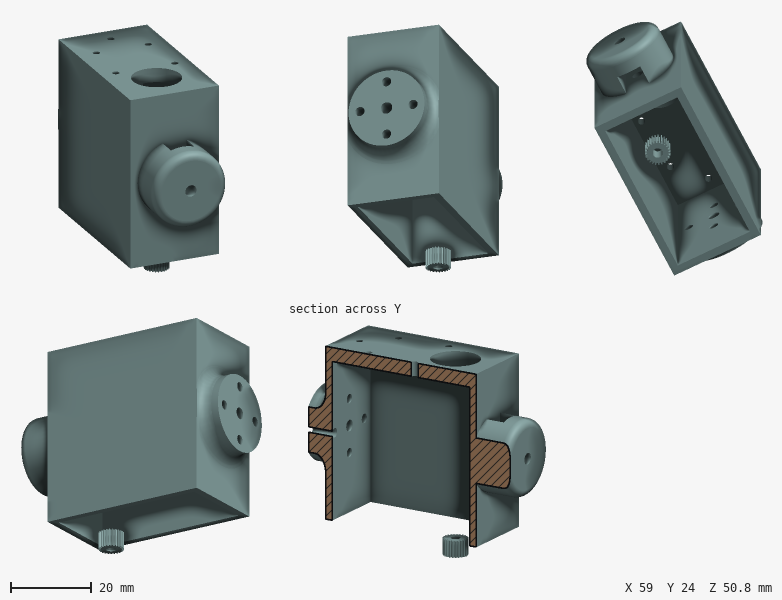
import cadquery as cq
import math


overall_length = 59

box_width = 24.0
box_height = 45.0
wall = 2.0
ceiling = 3.8
box_top = box_height / 2
box_bottom = -box_height / 2

flange_diameter = 20.0
flange_length = flange_diameter / 4
flange_flare = 3.0
shaft_hole_diameter = 3.0
flange_hole_diameter = 2.4
flange_hole_circle = 14.0

spout_diameter = flange_diameter
spout_length = spout_diameter / 2
spout_fillet = 2.0
slot_width = 6.4
slot_length = spout_length / 2

box_length = overall_length - flange_length - spout_length

screw_hole_diameter = 1.8
screw_circle_x = 12.0
screw_circle_radius = 7.0
screw_pair_x = 26.0
screw_pair_spacing = 16.0
pinion_opening_diameter = 12.7
pinion_x = 33.0

pinion_teeth = 25
pinion_tip_diameter = 6.45
pinion_root_diameter = 5.3
pinion_bore_diameter = 2.5
pinion_height = 4.3
pinion_gap = 1.5
tip_fraction = 0.27
root_fraction = 0.6


def make_box():
    """Solid block from the left face at X = 0."""
    return cq.Workplane("XY").box(box_length, box_width, box_height, centered=(False, True, True))


def make_flange():
    """Disc that flares concavely into the left face, trimmed flush with the block's sides."""
    rim_radius = flange_diameter / 2
    flare_radius = rim_radius + flange_flare
    arc_drop = flange_flare * math.sqrt(0.5)
    profile = (
        cq.Workplane("XY")
        .moveTo(-flange_length, 0)
        .lineTo(-flange_length, rim_radius)
        .lineTo(-flange_flare, rim_radius)
        .threePointArc((-flange_flare + arc_drop, flare_radius - arc_drop), (0, flare_radius))
        .lineTo(0, 0)
        .close()
    )
    flange = profile.revolve(axisStart=(0, 0, 0), axisEnd=(1, 0, 0))
    side_trim = cq.Workplane("XY").box(2 * flange_length, box_width, box_height)
    return flange.intersect(side_trim)


def make_spout():
    """Cylinder with a rounded end and a slot through it from top to bottom."""
    spout = (
        cq.Workplane("YZ", origin=(box_length, 0, 0))
        .circle(spout_diameter / 2)
        .extrude(spout_length)
        .faces(">X")
        .edges()
        .fillet(spout_fillet)
    )
    slot = cq.Workplane("XY", origin=(box_length, 0, 0)).box(
        slot_length, slot_width, spout_diameter, centered=(False, True, True)
    )
    return spout.cut(slot)


def make_cavity():
    """Inner space below the ceiling, open at the bottom."""
    return cq.Workplane("XY", origin=(wall, 0, box_bottom)).box(
        box_length - 2 * wall, box_width - 2 * wall, box_height - ceiling, centered=(False, True, False)
    )


def make_axial_holes():
    """Shaft hole along the whole part and four holes through the flange into the cavity."""
    flange_face = cq.Workplane("YZ", origin=(-flange_length, 0, 0))
    shaft_hole = flange_face.circle(shaft_hole_diameter / 2).extrude(overall_length)
    flange_holes = (
        flange_face.polarArray(flange_hole_circle / 2, 0, 360, 4)
        .circle(flange_hole_diameter / 2)
        .extrude(flange_length + wall)
    )
    return shaft_hole.union(flange_holes)


def make_ceiling_holes():
    """Five screw holes and the large opening above the pinion."""
    screw_points = [
        (screw_circle_x - screw_circle_radius, 0),
        (screw_circle_x, screw_circle_radius),
        (screw_circle_x, -screw_circle_radius),
        (screw_pair_x, screw_pair_spacing / 2),
        (screw_pair_x, -screw_pair_spacing / 2),
    ]
    top_face = cq.Workplane("XY", origin=(0, 0, box_top))
    screw_holes = top_face.pushPoints(screw_points).circle(screw_hole_diameter / 2).extrude(-ceiling)
    opening = top_face.center(pinion_x, 0).circle(pinion_opening_diameter / 2).extrude(-ceiling)
    return screw_holes.union(opening)


def make_housing():
    housing = make_box().union(make_flange()).union(make_spout())
    return housing.cut(make_cavity()).cut(make_axial_holes()).cut(make_ceiling_holes())


def polar_point(radius, angle):
    return (radius * math.cos(angle), radius * math.sin(angle))


def make_pinion():
    """Toothed ring with straight-sided teeth, one of them pointing to +X."""
    pitch = 2 * math.pi / pinion_teeth
    tip_radius = pinion_tip_diameter / 2
    root_radius = pinion_root_diameter / 2
    outline = []
    for tooth in range(pinion_teeth):
        middle = tooth * pitch
        outline.append(polar_point(root_radius, middle - root_fraction * pitch / 2))
        outline.append(polar_point(tip_radius, middle - tip_fraction * pitch / 2))
        outline.append(polar_point(tip_radius, middle + tip_fraction * pitch / 2))
        outline.append(polar_point(root_radius, middle + root_fraction * pitch / 2))
    pinion_top = cq.Workplane("XY", origin=(pinion_x, 0, box_bottom - pinion_gap))
    blank = pinion_top.polyline(outline).close().extrude(-pinion_height)
    bore = pinion_top.circle(pinion_bore_diameter / 2).extrude(-pinion_height)
    return blank.cut(bore)


housing = make_housing()
pinion = make_pinion()
result = cq.Compound.makeCompound([housing.val(), pinion.val()])